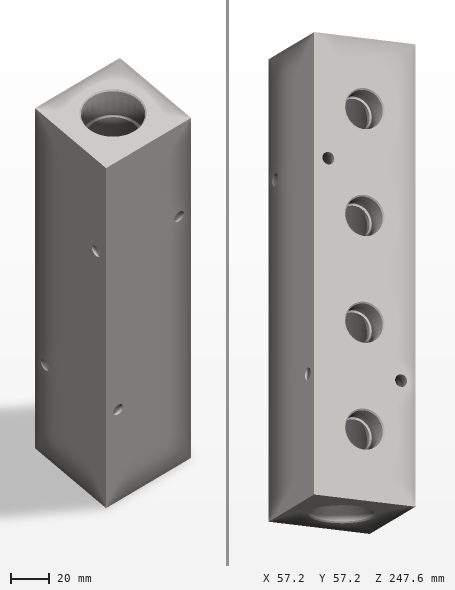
import cadquery as cq

length = 247.6
width = 57.2

passage_diameter = 29.2
end_mouth_diameter = 34.7
end_floor_diameter = 32.7
end_port_depth = 17.5

outlet_count = 4
outlet_pitch = width
outlet_diameter = 17.8
outlet_mouth_diameter = 22.5
outlet_floor_diameter = 20.3
outlet_port_depth = 13.5

port_chamfer = 0.7

mounting_diameter = 6.7
mounting_offset = 20.5
mounting_height = outlet_pitch


def cylinder(start, direction, diameter, depth):
    return cq.Solid.makeCylinder(diameter / 2, depth, cq.Vector(*start), cq.Vector(*direction))


def cone(start, direction, start_diameter, end_diameter, depth):
    return cq.Solid.makeCone(
        start_diameter / 2, end_diameter / 2, depth, cq.Vector(*start), cq.Vector(*direction)
    )


def tapered_port(start, direction, mouth_diameter, floor_diameter, depth):
    """Cutter for a flat-bottomed tapered port with a 45 degree chamfer at its mouth."""
    throat_diameter = mouth_diameter - 2 * port_chamfer
    taper = cone(start, direction, throat_diameter, floor_diameter, depth)
    mouth = cone(start, direction, mouth_diameter, throat_diameter, port_chamfer)
    return taper.fuse(mouth)


block = cq.Workplane("XY").box(width, width, length)

block = block.cut(cylinder((0, 0, -length / 2), (0, 0, 1), passage_diameter, length))
for end in (-1, 1):
    block = block.cut(
        tapered_port(
            (0, 0, end * length / 2), (0, 0, -end), end_mouth_diameter, end_floor_diameter, end_port_depth
        )
    )

for index in range(outlet_count):
    height = (index - (outlet_count - 1) / 2) * outlet_pitch
    start = (-width / 2, 0, height)
    block = block.cut(cylinder(start, (1, 0, 0), outlet_diameter, width / 2))
    block = block.cut(
        tapered_port(start, (1, 0, 0), outlet_mouth_diameter, outlet_floor_diameter, outlet_port_depth)
    )

for side in (-1, 1):
    offset = side * mounting_offset
    height = side * mounting_height
    block = block.cut(cylinder((-width / 2, offset, height), (1, 0, 0), mounting_diameter, width))
    block = block.cut(cylinder((offset, -width / 2, height), (0, 1, 0), mounting_diameter, width))

result = block